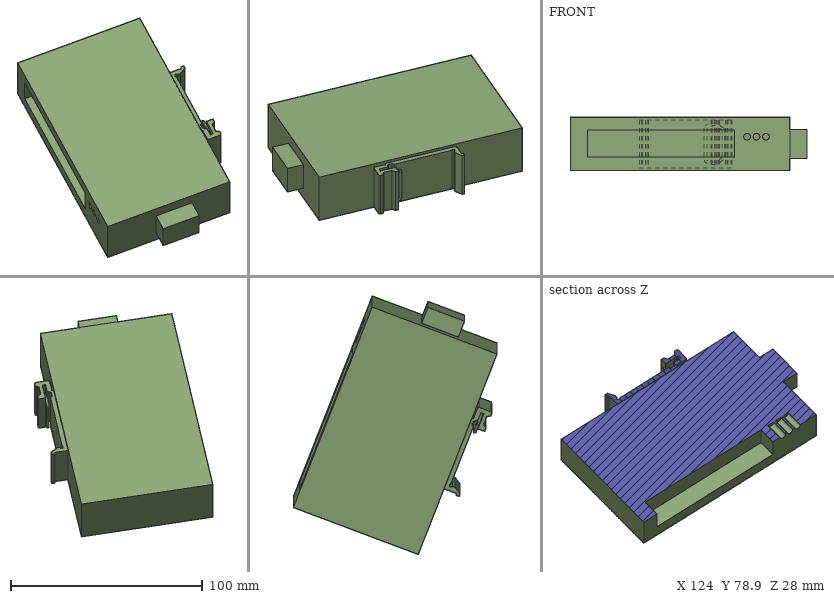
import cadquery as cq
import math


OVERALL_WIDTH = 124.0

HOUSING_WIDTH = 115.0
HOUSING_DEPTH = 70.0
HOUSING_HEIGHT = 28.0

RECESS_LEFT = 8.9
RECESS_WIDTH = 77.0
RECESS_BOTTOM = 7.1
RECESS_HEIGHT = 14.3
RECESS_DEPTH = 10.0
HOLE_COUNT = 3
HOLE_DIAMETER = 3.5
HOLE_PITCH = 5.0
FIRST_HOLE_X = 92.5
HOLE_Z = 17.7
HOLE_DEPTH = RECESS_DEPTH

CONNECTOR_LENGTH = OVERALL_WIDTH - HOUSING_WIDTH
CONNECTOR_FRONT = 27.8
CONNECTOR_DEPTH = 20.6
CONNECTOR_BOTTOM = 6.3
CONNECTOR_HEIGHT = 15.3

CLIP_LENGTH = 25.0
CLIP_BOTTOM = (HOUSING_HEIGHT - CLIP_LENGTH) / 2
CLIP_LEFT = 37.3
CLIP_RISE = 8.9
BASE_THICKNESS = 2.5
BASE_RIGHT = 78.1

LIP_OVERHANG = 1.0
LIP_HEIGHT = 1.6
LIP_SLOPE = 0.5
HOOK_TIP_WIDTH = 0.5
HOOK_ROOT_WIDTH = 2.9
HOOK_SHOULDER = 5.2
GROOVE_RADIUS = 0.7
GROOVE_CENTRE_RISE = 2.9

LATCH_LEFT = 73.7
LATCH_RIGHT = 84.7
LATCH_UNDERSIDE = 0.93
LATCH_CHAMFER = 0.6
SLOT_FLOOR = 3.5
SLOT_HEIGHT = 1.6
SLOT_LEFT = 77.5
SLOT_RIGHT = 82.3
NOTCH_FLOOR = 7.1
NOTCH_LEFT = 76.8
NOTCH_RIGHT = 81.2
NOTCH_FLARE = 0.7
RELIEF_LEFT = 73.8
RELIEF_FLOOR = 1.5
RELIEF_CHAMFER = 0.5
RELIEF_RAMP = 1.1

WIRE_DIAMETER = 1.4
WIRE_Y = HOUSING_DEPTH + SLOT_FLOOR + SLOT_HEIGHT - WIRE_DIAMETER / 2
LOOP_LEFT = 70.0
LOOP_RIGHT = 80.7
LOOP_PEAK_X = 76.0
LOOP_PEAK_RISE = 10.4
LEFT_SLOPE = 11
RIGHT_SLOPE = 35
BEND_RADIUS = 1.6
PEAK_RADIUS = 0.7


def make_housing():
    """Box with a side connector, a display recess and a row of indicator holes."""
    body = cq.Workplane("XY").box(HOUSING_WIDTH, HOUSING_DEPTH, HOUSING_HEIGHT, centered=False)
    connector = (
        cq.Workplane("XY")
        .box(CONNECTOR_LENGTH, CONNECTOR_DEPTH, CONNECTOR_HEIGHT, centered=False)
        .translate((HOUSING_WIDTH, CONNECTOR_FRONT, CONNECTOR_BOTTOM))
    )
    recess = (
        cq.Workplane("XY")
        .box(RECESS_WIDTH, RECESS_DEPTH, RECESS_HEIGHT, centered=False)
        .translate((RECESS_LEFT, 0, RECESS_BOTTOM))
    )
    holes = (
        cq.Workplane("XZ")
        .pushPoints([(FIRST_HOLE_X + i * HOLE_PITCH, HOLE_Z) for i in range(HOLE_COUNT)])
        .circle(HOLE_DIAMETER / 2)
        .extrude(-HOLE_DEPTH)
    )
    return body.union(connector).cut(recess).cut(holes)


def clip_plane():
    """Plane of the clip profile: local Y is the height above the back of the housing."""
    return cq.Workplane("XY", origin=(0, HOUSING_DEPTH, CLIP_BOTTOM))


def make_hook():
    """Fixed hook with an outward lip and a sloping inner side."""
    lip_bottom = CLIP_RISE - LIP_HEIGHT
    outline = [
        (CLIP_LEFT, 0),
        (CLIP_LEFT, lip_bottom - LIP_SLOPE),
        (CLIP_LEFT - LIP_OVERHANG, lip_bottom),
        (CLIP_LEFT - LIP_OVERHANG, CLIP_RISE),
        (CLIP_LEFT + HOOK_TIP_WIDTH, CLIP_RISE),
        (CLIP_LEFT + HOOK_ROOT_WIDTH, HOOK_SHOULDER),
        (CLIP_LEFT + HOOK_ROOT_WIDTH, 0),
    ]
    return clip_plane().polyline(outline).close().extrude(CLIP_LENGTH)


def make_latch():
    """C-shaped latch, open to the left, with a notch in its top."""
    slot_top = SLOT_FLOOR + SLOT_HEIGHT
    outline = [
        (LATCH_LEFT, slot_top),
        (LATCH_LEFT, CLIP_RISE),
        (NOTCH_LEFT - NOTCH_FLARE - LATCH_CHAMFER, CLIP_RISE),
        (NOTCH_LEFT - NOTCH_FLARE, CLIP_RISE - LATCH_CHAMFER),
        (NOTCH_LEFT, NOTCH_FLOOR),
        (NOTCH_RIGHT, NOTCH_FLOOR),
        (NOTCH_RIGHT + NOTCH_FLARE, NOTCH_FLOOR + NOTCH_FLARE),
        (NOTCH_RIGHT + NOTCH_FLARE, CLIP_RISE - LATCH_CHAMFER),
        (NOTCH_RIGHT + NOTCH_FLARE + LATCH_CHAMFER, CLIP_RISE),
        (LATCH_RIGHT - LATCH_CHAMFER, CLIP_RISE),
        (LATCH_RIGHT, CLIP_RISE - LATCH_CHAMFER),
        (LATCH_RIGHT, LATCH_UNDERSIDE + LATCH_CHAMFER),
        (LATCH_RIGHT - LATCH_CHAMFER, LATCH_UNDERSIDE),
        (SLOT_LEFT - RELIEF_RAMP, LATCH_UNDERSIDE),
        (SLOT_LEFT - RELIEF_RAMP, RELIEF_FLOOR),
        (SLOT_LEFT, RELIEF_FLOOR + RELIEF_RAMP),
        (SLOT_LEFT, SLOT_FLOOR),
        (SLOT_RIGHT, SLOT_FLOOR),
        (SLOT_RIGHT, slot_top),
    ]
    return clip_plane().polyline(outline).close().extrude(CLIP_LENGTH)


def make_base():
    """Strip on the back of the housing, thinner where it meets the latch."""
    outline = [
        (CLIP_LEFT, 0),
        (SLOT_LEFT, 0),
        (BASE_RIGHT, LATCH_UNDERSIDE),
        (SLOT_LEFT, RELIEF_FLOOR),
        (RELIEF_LEFT + RELIEF_CHAMFER, RELIEF_FLOOR),
        (RELIEF_LEFT, BASE_THICKNESS),
        (CLIP_LEFT, BASE_THICKNESS),
    ]
    return clip_plane().polyline(outline).close().extrude(CLIP_LENGTH)


def make_clip():
    """Rail clip: base strip, hook and latch, with a round groove at the foot of the hook."""
    groove = (
        clip_plane()
        .center(CLIP_LEFT + HOOK_ROOT_WIDTH, GROOVE_CENTRE_RISE)
        .circle(GROOVE_RADIUS)
        .extrude(CLIP_LENGTH)
    )
    return make_base().union(make_hook()).union(make_latch()).cut(groove)


def make_spring():
    """Wire loop with two upright legs and peaked ends, symmetric about the housing's mid-height."""
    left = LOOP_LEFT + WIRE_DIAMETER / 2
    right = LOOP_RIGHT - WIRE_DIAMETER / 2
    left_rise = LOOP_PEAK_RISE - (LOOP_PEAK_X - left) * math.tan(math.radians(LEFT_SLOPE))
    right_rise = LOOP_PEAK_RISE - (right - LOOP_PEAK_X) * math.tan(math.radians(RIGHT_SLOPE))
    corners = [
        (left, left_rise, BEND_RADIUS),
        (LOOP_PEAK_X, LOOP_PEAK_RISE, PEAK_RADIUS),
        (right, right_rise, BEND_RADIUS),
        (right, -right_rise, BEND_RADIUS),
        (LOOP_PEAK_X, -LOOP_PEAK_RISE, PEAK_RADIUS),
        (left, -left_rise, BEND_RADIUS),
    ]
    middle = HOUSING_HEIGHT / 2
    points = [cq.Vector(x, WIRE_Y, middle + rise) for x, rise, _ in corners]

    start = cq.Vector(left, WIRE_Y, middle)
    edges = []
    end = start
    for i, (_, _, radius) in enumerate(corners):
        corner = points[i]
        back = (points[i - 1] - corner).normalized()
        ahead = (points[(i + 1) % len(points)] - corner).normalized()
        half_angle = back.getAngle(ahead) / 2
        setback = radius / math.tan(half_angle)
        toward_centre = (back + ahead).normalized()
        arc_start = corner + back * setback
        arc_middle = corner + toward_centre * (radius / math.sin(half_angle) - radius)
        arc_end = corner + ahead * setback
        edges.append(cq.Edge.makeLine(end, arc_start))
        edges.append(cq.Edge.makeThreePointArc(arc_start, arc_middle, arc_end))
        end = arc_end
    edges.append(cq.Edge.makeLine(end, start))
    path = cq.Workplane("XY").newObject([cq.Wire.assembleEdges(edges)])
    return cq.Workplane("XY", origin=start.toTuple()).circle(WIRE_DIAMETER / 2).sweep(path)


housing = make_housing()
clip = make_clip()
spring = make_spring()

result = cq.Compound.makeCompound([housing.val(), clip.val(), spring.val()])